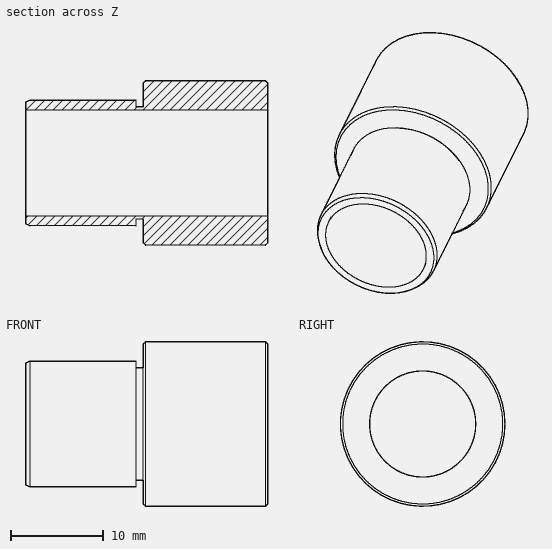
import cadquery as cq

total_length = 26.16
spigot_length = 12.70
collar_diameter = 17.78
spigot_diameter = 13.59
bore_diameter = 11.43

groove_width = 0.76
groove_diameter = 12.19

collar_chamfer = 0.25
lead_in_length = 0.46
lead_in_depth = 0.22

spigot_end_x = -total_length / 2
collar_start_x = spigot_end_x + spigot_length
groove_start_x = collar_start_x - groove_width
collar_end_x = total_length / 2

collar_radius = collar_diameter / 2
spigot_radius = spigot_diameter / 2
groove_radius = groove_diameter / 2
bore_radius = bore_diameter / 2


def make_sleeve():
    """Revolve the half section of the wall about the X axis."""
    half_section = [
        (spigot_end_x, bore_radius),
        (spigot_end_x, spigot_radius - lead_in_depth),
        (spigot_end_x + lead_in_length, spigot_radius),
        (groove_start_x, spigot_radius),
        (groove_start_x, groove_radius),
        (collar_start_x, groove_radius),
        (collar_start_x, collar_radius - collar_chamfer),
        (collar_start_x + collar_chamfer, collar_radius),
        (collar_end_x - collar_chamfer, collar_radius),
        (collar_end_x, collar_radius - collar_chamfer),
        (collar_end_x, bore_radius),
    ]
    wall = cq.Workplane("XY").polyline(half_section).close()
    return wall.revolve(360, (0, 0, 0), (1, 0, 0))


result = make_sleeve()